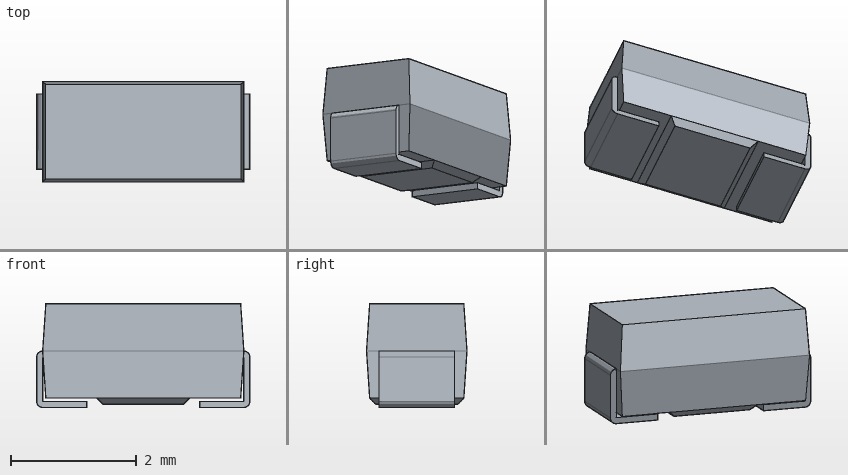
import cadquery as cq

case_length = 3.2
case_width = 1.6
case_top = 1.65
parting_height = 0.9
case_bottom = 0.15
taper_inset = 0.05

pad_length = 1.48
pad_drop = 0.1

overall_length = 3.39
terminal_thickness = 0.1
terminal_width = 1.2
foot_length = 0.8
terminal_height = parting_height


def tapered_block(length, width, inset, start_height, end_height):
    """Rectangular block that shrinks by inset on every side from start to end."""
    return (
        cq.Workplane("XY", origin=(0, 0, start_height))
        .rect(length, width)
        .workplane(offset=end_height - start_height)
        .rect(length - 2 * inset, width - 2 * inset)
        .loft(ruled=True)
    )


def make_terminal(side):
    """L-shaped terminal on the -X (side=-1) or +X (side=1) end, foot pointing inward.

    The outer corners are rounded with a radius equal to the sheet thickness,
    so each rounding starts level with the inner face of the upright.
    """
    outer_x = side * overall_length / 2
    inner_x = outer_x - side * terminal_thickness
    foot_end_x = outer_x - side * foot_length
    arc_mid_offset = terminal_thickness * (1 - 0.5 ** 0.5)
    arc_mid_x = outer_x - side * arc_mid_offset
    return (
        cq.Workplane("XZ", origin=(0, terminal_width / 2, 0))
        .moveTo(foot_end_x, 0)
        .lineTo(inner_x, 0)
        .threePointArc((arc_mid_x, arc_mid_offset), (outer_x, terminal_thickness))
        .lineTo(outer_x, terminal_height - terminal_thickness)
        .threePointArc((arc_mid_x, terminal_height - arc_mid_offset), (inner_x, terminal_height))
        .lineTo(inner_x, terminal_thickness)
        .lineTo(foot_end_x, terminal_thickness)
        .close()
        .extrude(terminal_width)
    )


def make_case():
    """Case halves and standoff pad as one solid, before the terminals are seated."""
    upper_half = tapered_block(case_length, case_width, taper_inset, parting_height, case_top)
    lower_half = tapered_block(case_length, case_width, taper_inset, parting_height, case_bottom)
    pad_width = case_width - 2 * taper_inset
    pad = tapered_block(pad_length, pad_width, pad_drop, case_bottom, case_bottom - pad_drop)
    return upper_half.union(lower_half).union(pad)


terminals = [make_terminal(side) for side in (-1, 1)]

case = make_case()
for terminal in terminals:
    case = case.cut(terminal)

result = cq.Compound.makeCompound([case.val(), *[terminal.val() for terminal in terminals]])